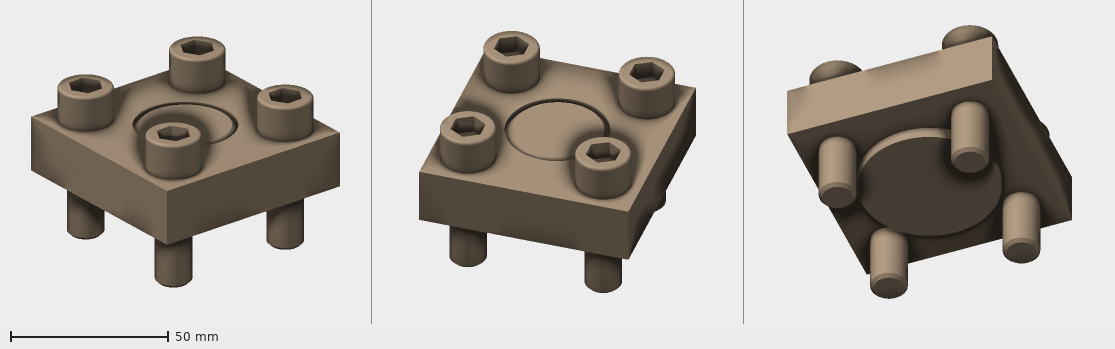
import cadquery as cq
import math

plate_side = 70.0
plate_thickness = 19.0

spigot_diameter = 46.0
spigot_height = 4.0

groove_outer_diameter = 33.7
groove_width = 2.0
groove_depth = 2.0

bolt_circle_diameter = 64.0
bolt_offset = bolt_circle_diameter / 2 / math.sqrt(2)
shank_diameter = 12.0
head_diameter = 1.5 * shank_diameter
head_height = shank_diameter
head_edge_radius = 1.0
screw_length = 40.0
tip_chamfer = 1.1
socket_across_flats = 10.0
socket_depth = shank_diameter / 2


def make_plate():
    plate = cq.Workplane("XY").box(
        plate_side, plate_side, plate_thickness, centered=(True, True, False)
    )
    spigot = cq.Workplane("XY").circle(spigot_diameter / 2).extrude(-spigot_height)
    return plate.union(spigot)


def make_groove():
    outer_radius = groove_outer_diameter / 2
    inner_radius = outer_radius - groove_width
    profile = (
        cq.Workplane("XZ")
        .moveTo(inner_radius, plate_thickness)
        .lineTo(outer_radius, plate_thickness)
        .lineTo(outer_radius, plate_thickness - groove_depth)
        .close()
    )
    return profile.revolve(360, (0, 0, 0), (0, 1, 0))


def make_screw():
    """Screw on the Z axis, already seated on the plate top."""
    head = (
        cq.Workplane("XY", origin=(0, 0, plate_thickness))
        .circle(head_diameter / 2)
        .extrude(head_height)
        .faces(">Z")
        .edges()
        .fillet(head_edge_radius)
    )
    shank = (
        cq.Workplane("XY", origin=(0, 0, plate_thickness))
        .circle(shank_diameter / 2)
        .extrude(-screw_length)
        .faces("<Z")
        .chamfer(tip_chamfer)
    )
    socket_across_corners = socket_across_flats / math.cos(math.pi / 6)
    socket = (
        cq.Workplane("XY", origin=(0, 0, plate_thickness + head_height))
        .transformed(rotate=(0, 0, 90))
        .polygon(6, socket_across_corners)
        .extrude(-socket_depth)
    )
    return head.union(shank).cut(socket)


result = make_plate().cut(make_groove())
for x_side in (-1, 1):
    for y_side in (-1, 1):
        screw = make_screw().translate((x_side * bolt_offset, y_side * bolt_offset, 0))
        result = result.union(screw)